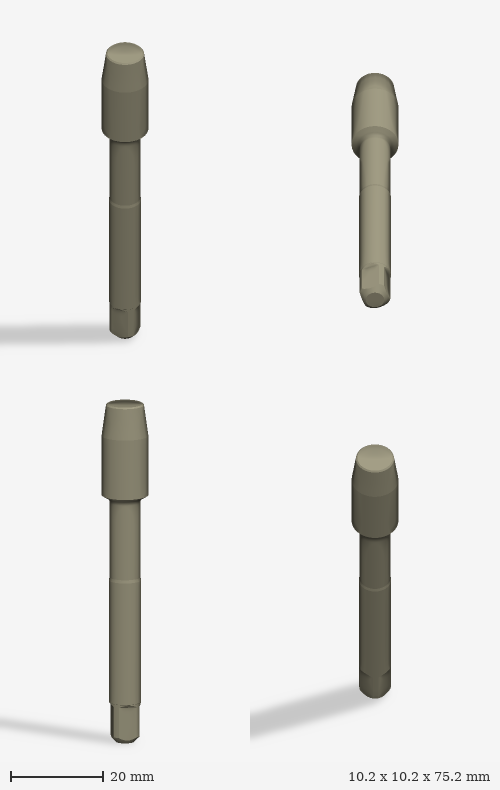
import cadquery as cq
import math

length = 75.2

head_diameter = 10.15
tip_diameter = 8.3
tip_chamfer = 0.3
taper_length = 7.1
head_length = 20.3
head_back_slope = 30.0
head_fillet = 1.0

neck_diameter = 6.7
neck_end = 38.6
shank_diameter = 7.0
shank_start = 39.25

square_width = 5.65
square_length = 8.1
drive_corner_diameter = 6.85
drive_start = 8.9
end_chamfer = 1.4

head_radius = head_diameter / 2
tip_radius = tip_diameter / 2
neck_radius = neck_diameter / 2
shank_radius = shank_diameter / 2
drive_corner_radius = drive_corner_diameter / 2


def make_body():
    """Revolve the stepped profile, including the fillet behind the head."""
    slope = math.radians(head_back_slope)
    head_bottom = length - head_length

    fillet_center_r = neck_radius + head_fillet
    cone_tangent_r = fillet_center_r - head_fillet * math.sin(slope)
    cone_tangent_z = head_bottom - (head_radius - cone_tangent_r) * math.tan(slope)
    fillet_center_z = cone_tangent_z - head_fillet * math.cos(slope)
    middle_angle = (slope + math.pi / 2) / 2
    fillet_middle = (
        fillet_center_r - head_fillet * math.sin(middle_angle),
        fillet_center_z + head_fillet * math.cos(middle_angle),
    )

    return (
        cq.Workplane("XZ")
        .moveTo(0, 0)
        .lineTo(drive_corner_radius - end_chamfer, 0)
        .lineTo(drive_corner_radius, end_chamfer)
        .lineTo(drive_corner_radius, drive_start - (shank_radius - drive_corner_radius))
        .lineTo(shank_radius, drive_start)
        .lineTo(shank_radius, length - shank_start)
        .lineTo(neck_radius, length - neck_end)
        .lineTo(neck_radius, fillet_center_z)
        .threePointArc(fillet_middle, (cone_tangent_r, cone_tangent_z))
        .lineTo(head_radius, head_bottom)
        .lineTo(head_radius, length - taper_length)
        .lineTo(tip_radius, length - tip_chamfer)
        .lineTo(tip_radius - tip_chamfer, length)
        .lineTo(0, length)
        .close()
        .revolve(360, (0, 0, 0), (0, 1, 0))
    )


def make_flat_cutter():
    """Material outside the +X flat, with a 45 degree run-out at its top."""
    flat_x = square_width / 2
    outer_x = head_radius
    runout_top = square_length + outer_x - flat_x
    return (
        cq.Workplane("XZ")
        .polyline([(flat_x, 0), (outer_x, 0), (outer_x, runout_top), (flat_x, square_length)])
        .close()
        .extrude(head_radius, both=True)
    )


result = make_body()
flat_cutter = make_flat_cutter()
for angle in (0, 90, 180, 270):
    result = result.cut(flat_cutter.rotate((0, 0, 0), (0, 0, 1), angle))